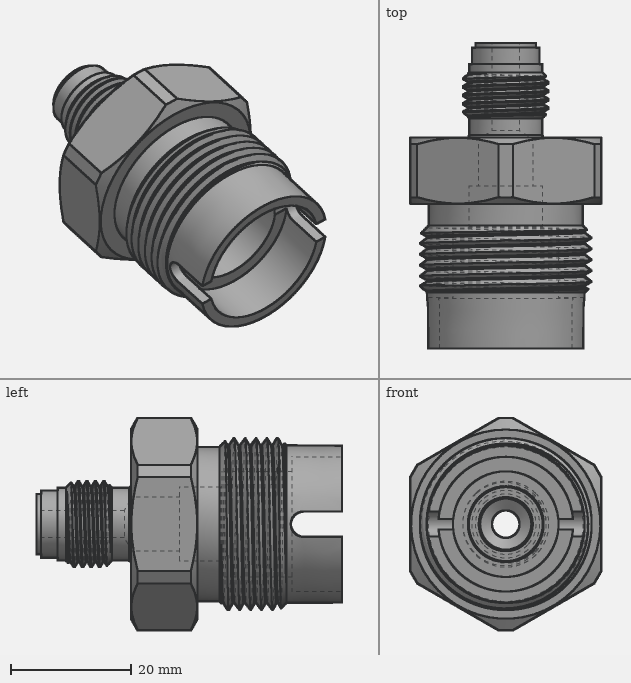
import cadquery as cq
import math

CUP_THREAD_START = 9.27
CUP_THREAD_END = 20.4
HEX_START = 24.0
HEX_END = 35.1
NOSE_THREAD_START = 38.25
NOSE_THREAD_END = 45.9
COLLAR_END = 47.25
TIP_START = 50.0
TOTAL_LENGTH = 50.8

CUP_RADIUS = 13.06
CUP_RUNOUT_RADIUS = 13.12
CUP_NECK_RADIUS = 12.84
NOSE_NECK_RADIUS = 6.07
NOSE_RADIUS = 5.63
TIP_RADIUS = 5.03
NECK_CHAMFER = 0.18
NECK_CHAMFER_LENGTH = 0.35

HEX_SIDES = 6
HEX_ACROSS_FLATS = 31.75
HEX_ACROSS_TRUNCATED_CORNERS = 35.31
HEX_FACE_RADIUS = 15.72
HEX_CHAMFER_ANGLE = 30.0
HALF_SIDE_ANGLE = 180 / HEX_SIDES

INCH = 25.4
CUP_THREAD_RADIUS = (1 + 1 / 8) * INCH / 2
CUP_THREAD_PITCH = INCH / 14
CUP_CREST_STATION = 18.48
NOSE_THREAD_RADIUS = 9 / 16 * INCH / 2
NOSE_THREAD_PITCH = INCH / 18
NOSE_CREST_STATION = 44.17
THREAD_DEPTH_RATIO = 0.6134
CREST_FLAT_RATIO = 1 / 8
FLANK_ANGLE = 30.0
GROOVE_OVERSHOOT = 0.05

CUP_ROOT_RADIUS = CUP_THREAD_RADIUS - THREAD_DEPTH_RATIO * CUP_THREAD_PITCH
NOSE_ROOT_RADIUS = NOSE_THREAD_RADIUS - THREAD_DEPTH_RATIO * NOSE_THREAD_PITCH

CUP_BORE_RADIUS = 11.2
MAIN_BORE_RADIUS = 8.78
MAIN_BORE_DEPTH = 20.0
SEAT_RADIUS = 6.15
SEAT_CHAMFER = 0.15
SEAT_DEPTH = 27.0
PORT_RADIUS = 4.5
PORT_STEP_RADIUS = 4.25
PORT_DEPTH = 35.0
PASSAGE_RADIUS = 2.26
PORT_CONE_ANGLE = 59.0

SLOT_WIDTH = 4.14
SLOT_DEPTH = 8.5
LEDGE_GROOVE_HALF_WIDTH = 0.86

SLOT_END_RADIUS = SLOT_WIDTH / 2
SLOT_END_CENTER = SLOT_DEPTH - SLOT_END_RADIUS
CUP_BORE_DEPTH = SLOT_END_CENTER + math.sqrt(SLOT_END_RADIUS**2 - LEDGE_GROOVE_HALF_WIDTH**2)


def revolve_about_y(points):
    """Solid of revolution about Y from (radius, station) points."""
    profile = [(station, radius) for radius, station in points]
    return cq.Workplane("YZ").polyline(profile).close().revolve(360, (0, 0, 0), (1, 0, 0))


def thread_blank(start, start_radius, end, end_radius, crest_radius):
    """Profile points of an uncut thread blank with 45 degree ends, from start to end."""
    return [
        (start_radius, start),
        (crest_radius, start + crest_radius - start_radius),
        (crest_radius, end - crest_radius + end_radius),
        (end_radius, end),
    ]


def make_thread_groove(start, end, crest_radius, root_radius, pitch, crest_station):
    """Right-handed helical groove about Y, reaching past both ends of the thread blank."""
    groove_station = crest_station + pitch / 2
    turns_before = math.ceil((groove_station - start) / pitch)
    first_groove = groove_station - turns_before * pitch
    height = math.ceil((end - first_groove) / pitch) * pitch

    outer_radius = crest_radius + GROOVE_OVERSHOOT
    flank_slope = math.tan(math.radians(FLANK_ANGLE))
    outer_half = (1 - CREST_FLAT_RATIO) * pitch / 2 + GROOVE_OVERSHOOT * flank_slope
    root_half = outer_half - (outer_radius - root_radius) * flank_slope

    helix = cq.Workplane(cq.Wire.makeHelix(pitch, height, root_radius))
    return (
        cq.Workplane("XZ")
        .polyline([
            (root_radius, -root_half),
            (outer_radius, -outer_half),
            (outer_radius, outer_half),
            (root_radius, root_half),
        ])
        .close()
        .sweep(helix, isFrenet=True)
        .rotate((0, 0, 0), (1, 0, 0), -90)
        .translate((0, first_groove, 0))
    )


def make_cup_and_nose_body():
    """Turned body with uncut thread blanks, before boring."""
    return revolve_about_y([
        (0, 0),
        (CUP_RADIUS, 0),
        *thread_blank(CUP_THREAD_START, CUP_RUNOUT_RADIUS,
                      CUP_THREAD_END, CUP_NECK_RADIUS, CUP_THREAD_RADIUS),
        (CUP_NECK_RADIUS, HEX_END),
        (NOSE_NECK_RADIUS + NECK_CHAMFER, HEX_END),
        (NOSE_NECK_RADIUS, HEX_END + NECK_CHAMFER_LENGTH),
        *thread_blank(NOSE_THREAD_START, NOSE_NECK_RADIUS,
                      NOSE_THREAD_END, NOSE_NECK_RADIUS, NOSE_THREAD_RADIUS),
        (NOSE_NECK_RADIUS, COLLAR_END),
        (NOSE_RADIUS, COLLAR_END),
        (NOSE_RADIUS, TIP_START),
        (TIP_RADIUS, TIP_START),
        (TIP_RADIUS, TOTAL_LENGTH),
        (0, TOTAL_LENGTH),
    ])


def make_hexagon():
    """Hexagon with flats on +-X, truncated corners and 30 degree chamfers on both faces."""
    length = HEX_END - HEX_START
    blank = cq.Workplane("XZ", origin=(0, HEX_END, 0))
    flats_to_corners = 1 / math.cos(math.radians(HALF_SIDE_ANGLE))
    corner_diameter = HEX_ACROSS_FLATS * flats_to_corners
    hexagon = (
        blank.transformed(rotate=(0, 0, HALF_SIDE_ANGLE))
        .polygon(HEX_SIDES, corner_diameter)
        .extrude(length)
    )
    truncation_diameter = HEX_ACROSS_TRUNCATED_CORNERS * flats_to_corners
    truncation = blank.polygon(HEX_SIDES, truncation_diameter).extrude(length)

    rim_radius = corner_diameter / 2
    chamfer_length = (rim_radius - HEX_FACE_RADIUS) * math.tan(math.radians(HEX_CHAMFER_ANGLE))
    chamfers = revolve_about_y([
        (0, HEX_START),
        (HEX_FACE_RADIUS, HEX_START),
        (rim_radius, HEX_START + chamfer_length),
        (rim_radius, HEX_END - chamfer_length),
        (HEX_FACE_RADIUS, HEX_END),
        (0, HEX_END),
    ])
    return hexagon.intersect(truncation).intersect(chamfers)


def make_bore():
    """Stepped bore from the cup end, closing through a cone to the through passage."""
    cone_length = (PORT_STEP_RADIUS - PASSAGE_RADIUS) / math.tan(math.radians(PORT_CONE_ANGLE))
    return revolve_about_y([
        (0, 0),
        (CUP_BORE_RADIUS, 0),
        (CUP_BORE_RADIUS, CUP_BORE_DEPTH),
        (MAIN_BORE_RADIUS, CUP_BORE_DEPTH),
        (MAIN_BORE_RADIUS, MAIN_BORE_DEPTH),
        (SEAT_RADIUS + SEAT_CHAMFER, MAIN_BORE_DEPTH),
        (SEAT_RADIUS, MAIN_BORE_DEPTH + SEAT_CHAMFER),
        (SEAT_RADIUS, SEAT_DEPTH),
        (PORT_RADIUS, SEAT_DEPTH),
        (PORT_RADIUS, PORT_DEPTH),
        (PORT_STEP_RADIUS, PORT_DEPTH),
        (PASSAGE_RADIUS, PORT_DEPTH + cone_length),
        (PASSAGE_RADIUS, TOTAL_LENGTH),
        (0, TOTAL_LENGTH),
    ])


def make_slot():
    """Round-ended slot running straight across the cup in X."""
    return (
        cq.Workplane("YZ")
        .moveTo(0, -SLOT_END_RADIUS)
        .lineTo(SLOT_END_CENTER, -SLOT_END_RADIUS)
        .threePointArc((SLOT_DEPTH, 0), (SLOT_END_CENTER, SLOT_END_RADIUS))
        .lineTo(0, SLOT_END_RADIUS)
        .close()
        .extrude(CUP_THREAD_RADIUS, both=True)
    )


cup_groove = make_thread_groove(CUP_THREAD_START, CUP_THREAD_END, CUP_THREAD_RADIUS,
                                CUP_ROOT_RADIUS, CUP_THREAD_PITCH, CUP_CREST_STATION)
nose_groove = make_thread_groove(NOSE_THREAD_START, NOSE_THREAD_END, NOSE_THREAD_RADIUS,
                                 NOSE_ROOT_RADIUS, NOSE_THREAD_PITCH, NOSE_CREST_STATION)

body = make_cup_and_nose_body().cut(cup_groove).cut(nose_groove)
body = body.union(make_hexagon())
result = body.cut(make_bore()).cut(make_slot())